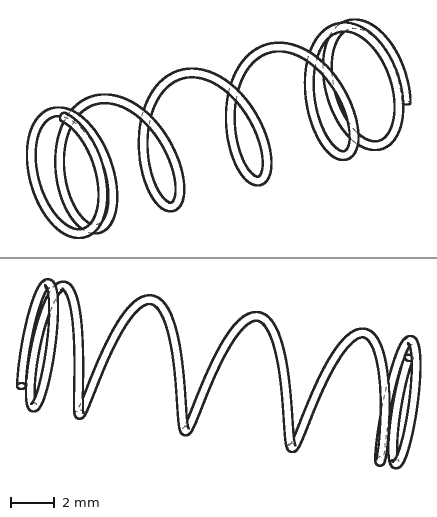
import cadquery as cq
import math

LENGTH = 17.93
OUTER_DIAMETER = 6.1
WIRE_DIAMETER = 0.41
OPEN_PITCH = 5.0
CLOSED_TURNS = 1.0
TRANSITION_TURNS = 1.0
OPEN_TURNS = 2.25
POINTS_PER_TURN = 24

coil_radius = (OUTER_DIAMETER - WIRE_DIAMETER) / 2
total_turns = 2 * (CLOSED_TURNS + TRANSITION_TURNS) + OPEN_TURNS
wire_rise = LENGTH - WIRE_DIAMETER

closed_pitch = (wire_rise - (OPEN_TURNS + TRANSITION_TURNS) * OPEN_PITCH) / (
    2 * CLOSED_TURNS + TRANSITION_TURNS
)


def rise_from_end(turns):
    """Axial advance of the wire, counted from an end to the middle of the spring."""
    entered = min(max(turns - CLOSED_TURNS, 0), TRANSITION_TURNS)
    open_turns = max(turns - CLOSED_TURNS - TRANSITION_TURNS, 0)
    pitch_gain = OPEN_PITCH - closed_pitch
    extra_rise = pitch_gain * (entered**2 / (2 * TRANSITION_TURNS) + open_turns)
    return closed_pitch * turns + extra_rise


def wire_center(turns):
    """Point on the wire's centre line; the wire starts at +Z and turns toward +X."""
    if turns <= total_turns / 2:
        y = rise_from_end(turns) - wire_rise / 2
    else:
        y = wire_rise / 2 - rise_from_end(total_turns - turns)
    angle = 2 * math.pi * turns
    return cq.Vector(coil_radius * math.sin(angle), y, coil_radius * math.cos(angle))


point_count = round(total_turns * POINTS_PER_TURN) + 1
center_points = [wire_center(i / POINTS_PER_TURN) for i in range(point_count)]
center_line = cq.Workplane("XY").spline(center_points)

section = cq.Workplane("YZ", origin=center_points[0].toTuple()).circle(WIRE_DIAMETER / 2)
result = section.sweep(center_line, isFrenet=True)